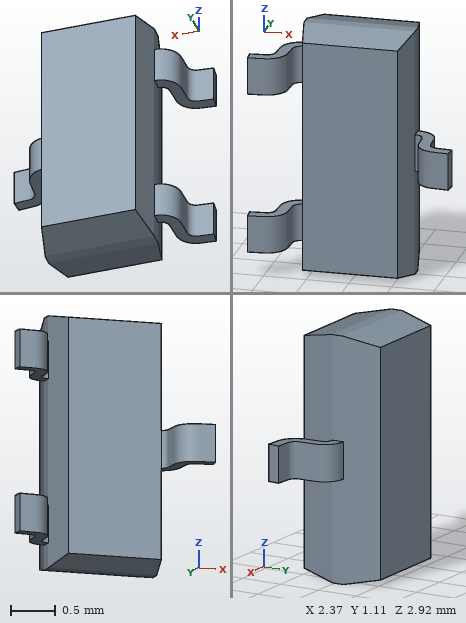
import cadquery as cq
import math

housing_width = 1.3
housing_height = 2.92
band_thickness = 0.14
taper_depth = 0.435
taper_angle = 12.0

lead_thickness = band_thickness
lead_width = 0.438
lead_pitch = 1.9
lead_span = 2.37
lead_reach = (lead_span - housing_width) / 2
bend_radius = 0.17
shoulder_run = 0.01
leg_length = 0.2
leg_tilt = 3.0
foot_tilt = 5.0


def make_tapered_block(outward):
    """Block from one face of the band; outward is -1 for the front, +1 for the back."""
    plane = cq.Plane(
        origin=(0, outward * band_thickness / 2, 0),
        xDir=(1, 0, 0),
        normal=(0, outward, 0),
    )
    return cq.Workplane(plane).rect(housing_width, housing_height).extrude(taper_depth, taper=taper_angle)


def make_housing():
    band = cq.Workplane("XY").box(housing_width, band_thickness, housing_height)
    return band.union(make_tapered_block(-1)).union(make_tapered_block(1))


def arc_point(center, radius, degrees):
    angle = math.radians(degrees)
    return (center[0] + radius * math.cos(angle), center[1] + radius * math.sin(angle))


def make_lead(z_center):
    """Lead on the +X side, bent toward -Y, centred at height z_center."""
    half = lead_thickness / 2
    inner = bend_radius - half
    outer = bend_radius + half
    side = housing_width / 2
    leg_angle = math.radians(leg_tilt)
    foot_angle = math.radians(foot_tilt)

    shoulder = (side + shoulder_run, -bend_radius)
    ankle = (
        shoulder[0] + 2 * bend_radius * math.cos(leg_angle) + leg_length * math.sin(leg_angle),
        shoulder[1] + 2 * bend_radius * math.sin(leg_angle) - leg_length * math.cos(leg_angle),
    )
    shoulder_end = leg_tilt
    shoulder_mid = (90 + shoulder_end) / 2
    ankle_start = 180 + leg_tilt
    ankle_end = 270 - foot_tilt
    ankle_mid = (ankle_start + ankle_end) / 2

    foot_top = arc_point(ankle, inner, ankle_end)
    foot_length = (side + lead_reach - foot_top[0]) / math.cos(foot_angle)
    toe_top = (side + lead_reach, foot_top[1] - foot_length * math.sin(foot_angle))
    toe_bottom = (
        toe_top[0] - lead_thickness * math.sin(foot_angle),
        toe_top[1] - lead_thickness * math.cos(foot_angle),
    )

    profile = (
        cq.Workplane("XY", origin=(0, 0, z_center))
        .moveTo(side, half)
        .lineTo(shoulder[0], half)
        .threePointArc(arc_point(shoulder, outer, shoulder_mid), arc_point(shoulder, outer, shoulder_end))
        .lineTo(*arc_point(ankle, inner, ankle_start))
        .threePointArc(arc_point(ankle, inner, ankle_mid), foot_top)
        .lineTo(*toe_top)
        .lineTo(*toe_bottom)
        .lineTo(*arc_point(ankle, outer, ankle_end))
        .threePointArc(arc_point(ankle, outer, ankle_mid), arc_point(ankle, outer, ankle_start))
        .lineTo(*arc_point(shoulder, inner, shoulder_end))
        .threePointArc(arc_point(shoulder, inner, shoulder_mid), (shoulder[0], -half))
        .lineTo(side, -half)
        .close()
    )
    return profile.extrude(lead_width / 2, both=True)


housing = make_housing()

leads = [make_lead(0)]
for z_center in (-lead_pitch / 2, lead_pitch / 2):
    leads.append(make_lead(z_center).mirror("YZ"))

result = cq.Compound.makeCompound([housing.val(), *[lead.val() for lead in leads]])